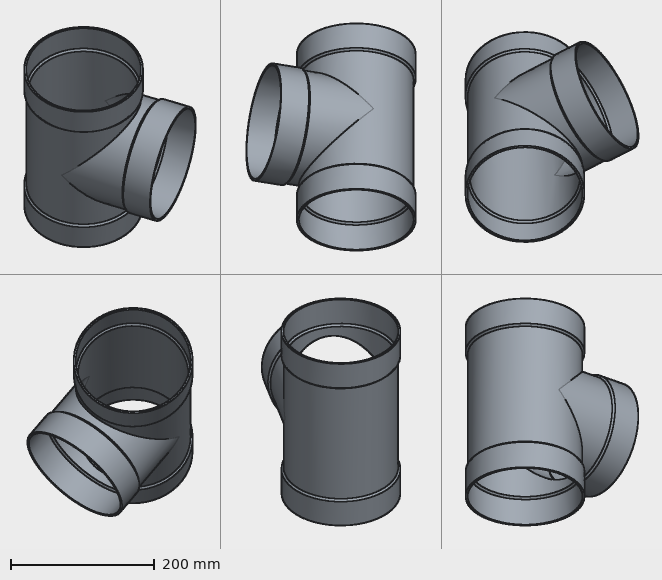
import cadquery as cq

pipe_bore_diameter = 154.0
wall = 3.0
end_distance = 135.0
socket_depth = 40.0
taper_length = 3.0

bore_radius = pipe_bore_diameter / 2
pipe_radius = bore_radius + wall
socket_radius = pipe_radius + wall
socket_start = end_distance - socket_depth
taper_start = socket_start - taper_length


def arm_profile(pipe_end_radius, socket_end_radius):
    """(radius, height) points from the pipe up to the socket mouth."""
    return [
        (pipe_end_radius, taper_start),
        (socket_end_radius, socket_start),
        (socket_end_radius, end_distance),
        (0, end_distance),
    ]


def revolve_about_z(points):
    """Solid of revolution about Z from a closed (radius, height) outline."""
    return cq.Workplane("XZ").polyline(points).close().revolve(360, (0, 0, 0), (0, 1, 0))


def tee(pipe_end_radius, socket_end_radius):
    """Solid tee: a straight run with a socket at both ends and a branch with one socket."""
    upper = arm_profile(pipe_end_radius, socket_end_radius)
    lower = [(radius, -height) for radius, height in reversed(upper)]
    run = revolve_about_z(lower + upper)

    branch_outline = [(0, 0), (pipe_end_radius, 0)] + upper
    branch = revolve_about_z(branch_outline).rotate((0, 0, 0), (0, 1, 0), 90)
    return run.union(branch)


outside = tee(pipe_radius, socket_radius)
inside = tee(bore_radius, pipe_radius)

result = outside.cut(inside)